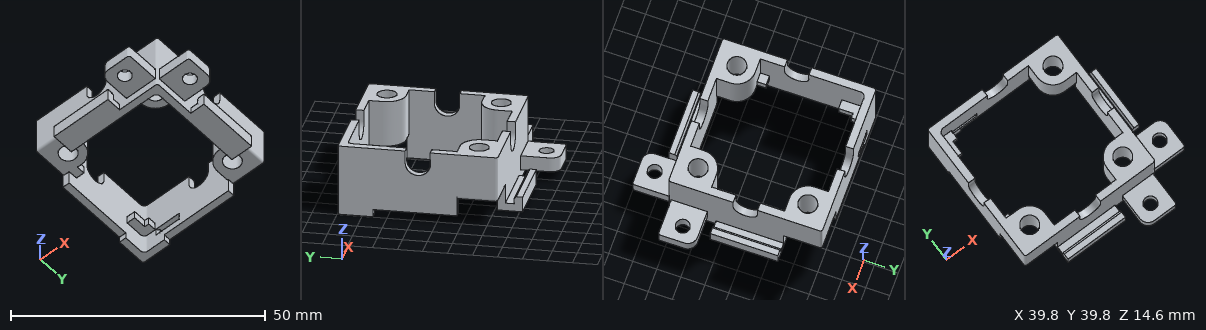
import cadquery as cq

body_side = 32.0
body_height = 14.6
wall = 1.65
edge_radius = 0.5
inner_radius = 1.0
half = body_side / 2
inner_half = half - wall
mid_wall = half - wall / 2

notch_width = 5.0
corner_cut = 8.0
corner_cut_long = 8.2
deck_height = 5.1
relief_height = 1.55
relief_start = 7.05
window_start = 5.4
window_width = 5.0
window_bottom = 3.3

post_inset = 4.57
post_radius = 3.85
post_hole = 3.9
post_centre = half - post_inset

guide_thickness = 1.95
guide_left_length = 4.93
guide_back_length = 3.0
stop_start = post_inset + post_radius
guide_top = deck_height + guide_thickness
stop_end = 10.35

rail_start = corner_cut
rail_length = 14.1
rail_reach = 3.45
rail_floor = 1.63
rail_groove = 1.75
rail_top = 3.18
rail_chamfer = 0.45

overall_side = 39.75
ear_reach = overall_side - body_side
ear_width = 7.55
ear_inset = 0.55
ear_bottom = 2.1
ear_radius = 2.05
ear_hole = 2.9
ear_hole_reach = 4.5

diagonal_normal = (1, 1, 0)


def block(x_range, y_range, z_range):
    """Box spanning three (low, high) ranges."""
    low, high = zip(x_range, y_range, z_range)
    size = [b - a for a, b in zip(low, high)]
    return cq.Workplane("XY").box(*size, centered=False).translate(low)


def with_mirror(feature):
    """The feature together with its copy across the frame's diagonal."""
    return feature.union(feature.mirror(diagonal_normal))


def pick_edges(solid, points):
    """The edges of a solid whose middles are nearest to the given points."""
    picked = solid.newObject([])
    for point in points:
        picked = picked.add(solid.edges(cq.selectors.NearestToPointSelector(point)))
    return picked


def relieve_corner(solid, side, x_cut, y_cut):
    """Remove the foot of a corner (side -1: front-left, 1: back-right) and round the edges there."""
    outer = side * half
    x_free = side * (half - x_cut)
    y_free = side * (half - y_cut)
    foot = block(sorted((x_free, outer)), sorted((y_free, outer)), (0, deck_height))
    relieved = solid.cut(foot)
    rounded_edges = [
        (outer, outer, (deck_height + body_height) / 2),
        ((x_free + outer) / 2, outer, deck_height),
        (outer, (y_free + outer) / 2, deck_height),
    ]
    return pick_edges(relieved, rounded_edges).fillet(edge_radius)


def frame_shell():
    """Four walls with rounded outer corners, relieved at two opposite corners."""
    full = (0, body_height)
    middle = body_height / 2
    outer = block((-half, half), (-half, half), full)
    outer = relieve_corner(outer, -1, corner_cut, corner_cut_long)
    outer = relieve_corner(outer, 1, corner_cut_long, corner_cut)
    outer = pick_edges(outer, [(-half, half, middle), (half, -half, middle)]).fillet(edge_radius)

    cavity = block((-inner_half, inner_half), (-inner_half, inner_half), full)
    rounded_edges = [(-inner_half, inner_half, middle), (inner_half, -inner_half, middle)]
    cavity = pick_edges(cavity, rounded_edges).fillet(inner_radius)
    return outer.cut(cavity)


def notch():
    """Round-bottomed notch through the front and back walls, open at the top."""
    radius = notch_width / 2
    bottom_centre = body_height - notch_width + radius
    slot = block((-radius, radius), (-half, half), (bottom_centre, body_height))
    round_end = cq.Workplane("XZ").center(0, bottom_centre).circle(radius).extrude(half, both=True)
    return slot.union(round_end)


def back_relief():
    """Clearance under the back wall, up to the relieved back-right corner."""
    return block((relief_start - half, half - corner_cut_long), (inner_half, half), (0, relief_height))


def back_window():
    """Opening in the back wall, its inner upright edges rounded outward."""
    left = window_start - half
    right = left + window_width
    return (
        cq.Workplane("XY", origin=(0, 0, window_bottom))
        .moveTo(left, half)
        .lineTo(left, inner_half + edge_radius)
        .radiusArc((left - edge_radius, inner_half), -edge_radius)
        .lineTo(right + edge_radius, inner_half)
        .radiusArc((right, inner_half + edge_radius), -edge_radius)
        .lineTo(right, half)
        .close()
        .extrude(deck_height - window_bottom)
    )


def post(x_side, y_side):
    """Corner post: a round column blended square into both walls."""
    x_centre = x_side * post_centre
    y_centre = y_side * post_centre
    x_wall = x_side * mid_wall
    y_wall = y_side * mid_wall
    x_free = x_centre - x_side * post_radius
    y_free = y_centre - y_side * post_radius
    return (
        cq.Workplane("XY", origin=(0, 0, deck_height))
        .moveTo(x_wall, y_wall)
        .lineTo(x_free, y_wall)
        .lineTo(x_free, y_centre)
        .radiusArc((x_centre, y_free), -x_side * y_side * post_radius)
        .lineTo(x_wall, y_free)
        .close()
        .extrude(body_height - deck_height)
    )


def guides():
    """L-shaped guide in the back-left corner and a stop beside the front-left post."""
    z_range = (deck_height, guide_top)
    x_leg = (-mid_wall, guide_thickness - inner_half)
    y_leg = (inner_half - guide_thickness, mid_wall)
    left_leg = block(x_leg, (inner_half - guide_left_length, mid_wall), z_range)
    back_leg = block((-mid_wall, guide_back_length - inner_half), y_leg, z_range)
    stop = block(x_leg, (stop_start - half, stop_end - half), z_range)
    return left_leg.union(back_leg).union(stop)


def hook_rail():
    """Hooked rail along the foot of the front wall."""
    face = -half
    lip = face - rail_groove
    tip = face - rail_reach
    return (
        cq.Workplane("YZ", origin=(rail_start - half, 0, 0))
        .moveTo(-mid_wall, 0)
        .lineTo(tip, 0)
        .lineTo(tip, rail_top)
        .lineTo(lip - rail_chamfer, rail_top)
        .lineTo(lip, rail_top - rail_chamfer)
        .lineTo(lip, rail_floor)
        .lineTo(-mid_wall, rail_floor)
        .close()
        .extrude(rail_length)
    )


def ear():
    """Screw ear standing out from the front wall at its right end."""
    right = half - ear_inset
    left = right - ear_width
    plate = block((left, right), (-half - ear_reach, -mid_wall), (ear_bottom, deck_height))
    plate = plate.faces("<Y").edges("|Z and <X").fillet(ear_radius)
    plate = plate.faces("<Y").edges("|Z and >X").fillet(edge_radius)
    hole = (
        cq.Workplane("XY", origin=(post_centre, -half - ear_hole_reach, 0))
        .circle(ear_hole / 2)
        .extrude(body_height)
    )
    return plate.cut(hole)


result = frame_shell()
result = result.cut(with_mirror(notch())).cut(with_mirror(back_relief())).cut(back_window())

post_sides = ((-1, -1), (1, -1), (1, 1))
for x_side, y_side in post_sides:
    result = result.union(post(x_side, y_side))
result = result.union(guides())
result = result.union(with_mirror(hook_rail())).union(with_mirror(ear()))

post_points = [(x_side * post_centre, y_side * post_centre) for x_side, y_side in post_sides]
post_holes = cq.Workplane("XY").pushPoints(post_points).circle(post_hole / 2).extrude(body_height)
result = result.cut(post_holes)